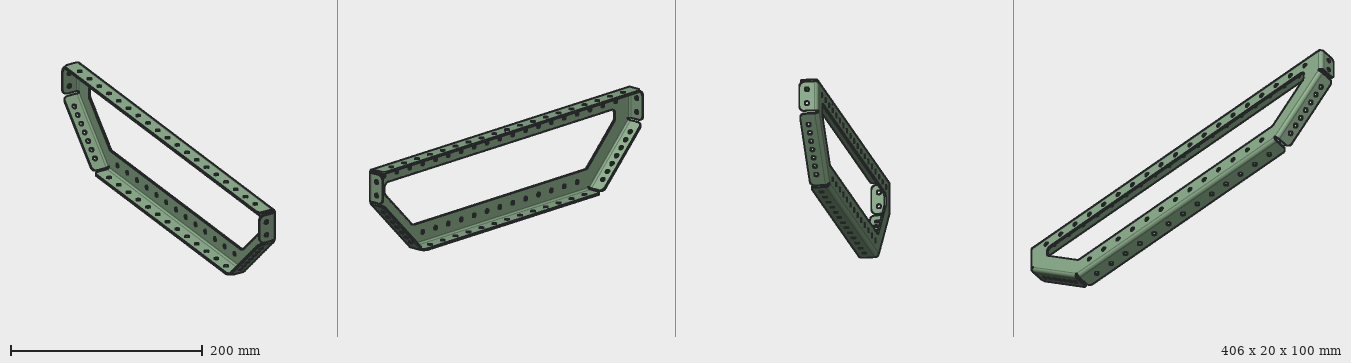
import cadquery as cq
import math

width = 406.0
depth = 20.0
height = 100.0

thickness = 2.0
bend_inner_radius = 2.0
bend_outer_radius = bend_inner_radius + thickness
flange_corner_radius = 5.0

slope_angle = math.radians(45)
side_height = 36.5
slope_run = height - side_height
half_width = width / 2
half_base = half_width - slope_run

top_border = 20.0
side_border = 24.0
base_border = 24.0
slope_border = 20.0
window_corner_radius = 5.0

hole_diameter = 4.5
hole_inset = 12.0
base_hole_inset = 13.3
long_pitch = 20.0
top_hole_count = 19
base_hole_count = 13
side_pitch = 15.0
side_hole_count = 2
slope_pitch = 10.0
slope_hole_count = 7

corners = [
    (half_width, height),
    (-half_width, height),
    (-half_width, slope_run),
    (-half_base, 0),
    (half_base, 0),
    (half_width, slope_run),
]

square_corner_gap = 3.2
slope_corner_gap = 2.0


def row(count, pitch):
    """Positions of evenly spaced holes, centred on zero."""
    return [(i - (count - 1) / 2) * pitch for i in range(count)]


def make_web():
    """Flat web inside the bends, with its window."""
    flat_half_width = half_width - bend_outer_radius
    bend_corner_shift = bend_outer_radius * math.tan(slope_angle / 2)
    flat_half_base = half_base - bend_corner_shift
    flat_slope_top = slope_run + bend_corner_shift
    flat_outline = [
        (flat_half_width, height - bend_outer_radius),
        (-flat_half_width, height - bend_outer_radius),
        (-flat_half_width, flat_slope_top),
        (-flat_half_base, bend_outer_radius),
        (flat_half_base, bend_outer_radius),
        (flat_half_width, flat_slope_top),
    ]
    window_slope_offset = half_base - slope_border / math.cos(slope_angle)
    window_half_width = half_width - side_border
    window_half_base = window_slope_offset + base_border
    window_slope_top = window_half_width - window_slope_offset
    window_outline = [
        (window_half_width, height - top_border),
        (-window_half_width, height - top_border),
        (-window_half_width, window_slope_top),
        (-window_half_base, base_border),
        (window_half_base, base_border),
        (window_half_width, window_slope_top),
    ]
    web = cq.Workplane("XZ").polyline(flat_outline).close().extrude(thickness)
    window = cq.Workplane("XZ").polyline(window_outline).close().extrude(thickness)
    return web.cut(window.edges("|Y").fillet(window_corner_radius))


def make_flange(start, end, start_gap, end_gap, hole_count, pitch):
    """Bend and flange along the outline from start to end, with a centred row of holes."""
    edge_length = math.dist(start, end)
    along = cq.Vector(end[0] - start[0], 0, end[1] - start[1]).normalized()
    inward = cq.Vector(0, 1, 0).cross(along) * -1
    edge_start = cq.Vector(start[0], 0, start[1])

    section = cq.Plane(edge_start + along * start_gap, inward, along)
    diagonal = math.sqrt(0.5)
    outer_mid = bend_outer_radius * (1 - diagonal)
    inner_mid = bend_outer_radius - bend_inner_radius * diagonal
    flange = (
        cq.Workplane(section)
        .moveTo(bend_outer_radius, 0)
        .threePointArc((outer_mid, outer_mid), (0, bend_outer_radius))
        .lineTo(0, depth)
        .lineTo(thickness, depth)
        .lineTo(thickness, bend_outer_radius)
        .threePointArc((inner_mid, inner_mid), (bend_outer_radius, thickness))
        .close()
        .extrude(edge_length - start_gap - end_gap)
    )
    free_corners = flange.faces("<Y").edges(cq.selectors.ParallelDirSelector(inward))
    flange = free_corners.fillet(flange_corner_radius)

    middle = edge_start + along * ((edge_length + start_gap - end_gap) / 2)
    face = cq.Plane(middle - cq.Vector(0, hole_inset, 0), along, inward)
    hole_centres = [(position, 0) for position in row(hole_count, pitch)]
    holes = cq.Workplane(face).pushPoints(hole_centres).circle(hole_diameter / 2).extrude(thickness)
    return flange.cut(holes)


def make_web_holes():
    """Cutters for the hole rows above and below the window."""
    top_row = [(x, height - hole_inset) for x in row(top_hole_count, long_pitch)]
    base_row = [(x, base_hole_inset) for x in row(base_hole_count, long_pitch)]
    return cq.Workplane("XZ").pushPoints(top_row + base_row).circle(hole_diameter / 2).extrude(thickness)


flange_specs = [
    (square_corner_gap, square_corner_gap, top_hole_count, long_pitch),
    (square_corner_gap, slope_corner_gap, side_hole_count, side_pitch),
    (slope_corner_gap, slope_corner_gap, slope_hole_count, slope_pitch),
    (slope_corner_gap, slope_corner_gap, base_hole_count, long_pitch),
    (slope_corner_gap, slope_corner_gap, slope_hole_count, slope_pitch),
    (slope_corner_gap, square_corner_gap, side_hole_count, side_pitch),
]

result = make_web().cut(make_web_holes())
for index, spec in enumerate(flange_specs):
    next_corner = corners[(index + 1) % len(corners)]
    result = result.union(make_flange(corners[index], next_corner, *spec))